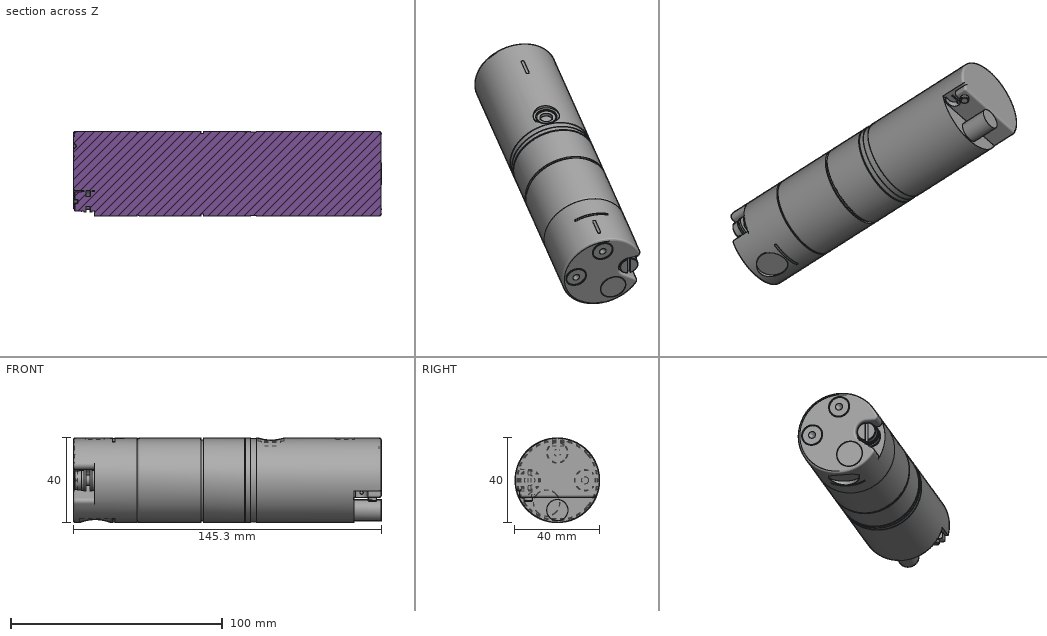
import cadquery as cq
import math

LENGTH = 145.3
DIAMETER = 40.0
RADIUS = DIAMETER / 2
EDGE_ROUND = 1.0
OVERCUT = 1.5
OVERLAP = 0.7

CAP_LENGTH = 30.1
SLEEVE_ROUND = 1.3
GROOVE_START = 60.2
GROOVE_WIDTH = 1.2
GROOVE_DEPTH = 0.9
GAP_START = 80.8
GAP_WIDTH = 0.5
GAP_DEPTH = 0.1
BAND_START = 83.5
BAND_WIDTH = 2.9
BAND_DEPTH = 0.22

BOLT_CIRCLE_RADIUS = 13.1
NOTCH_DEPTH = 9.9
NOTCH_RADIUS = 5.1
NOTCH_SLOPE = math.radians(36)
UPPER_CORNER_ROUND = 2.0
LOWER_CORNER_ROUND = 1.9

SCREW_STEPS = [(0.6, 9.0), (3.9, 9.5), (5.0, 10.0), (6.0, 5.0), (7.8, 10.0), (8.9, 9.5)]
SCREW_CHAMFER = 0.3
SLOT_WIDTH = 1.5
SLOT_DEPTH = 1.5

PLUG_DIAMETER = 10.0
SOCKET_DIAMETER = 3.3
SOCKET_DEPTH = 1.5
SEAM_WIDTH = 0.3
SEAM_DEPTH = 0.5
DISC_DIAMETER = 12.5
DISC_Y = -5.1
DISC_Z = -10.8
DISC_SEAM_WIDTH = 0.1
DISC_SEAM_DEPTH = 0.1

MARK_LENGTH = 9.3
MARK_WIDTH = 1.5
MARK_CENTERS = [10.2, 128.2]
ARC_MARK_X = 19.0
ARC_MARK_LENGTH = 16.3
ARC_MARK_WIDTH = 1.0
ARC_MARK_DEPTH = 0.1

PORT_X = 93.3
PORT_STEPS = [(12.4, 1.5), (10.0, 1.7), (9.0, 2.0), (6.0, 3.8)]
RECESS_X = 10.3
RECESS_DIAMETER = 14.8
RECESS_DEPTH = 1.9

CUTOUT_START = 132.4
CUTOUT_CEILING = -8.1
LEDGE_TOP = -5.1
LEDGE_Y = -17.9
LEDGE_ROUND = 0.9
END_ROUND = 1.2
BOSS_DIAMETER = 10.0
BOSS_Z = -14.1
POCKET_X = 136.0
POCKET_Y = -15.3
POCKET_WIDTH = 6.0
DIMPLE_DIAMETER = 1.6
DIMPLE_DEPTH = 1.5
DIMPLE_Z = -5.8
PIN_X = 141.1
PIN_DIAMETER = 4.0
PIN_BOTTOM = -10.0
PIN_CHAMFER = 0.5
PIN_Y = -13.8


def rod(start, end, radius, y=0.0, z=0.0):
    """Cylinder along X between two stations."""
    return cq.Workplane("YZ", origin=(start, y, z)).circle(radius).extrude(end - start)


def post(x, y, bottom, top, diameter):
    """Cylinder along Z between two heights."""
    return cq.Workplane("XY", origin=(x, y, bottom)).circle(diameter / 2).extrude(top - bottom)


def ring(start, width, depth, outer_radius, y=0.0, z=0.0):
    """Tube along X that removes a band of the given radial depth."""
    profile = cq.Workplane("YZ", origin=(start, y, z)).circle(outer_radius).circle(outer_radius - depth)
    return profile.extrude(width)


def notch_cutter():
    """Pocket round the screw: a level upper wall, a round back and a sloping lower wall."""
    reach = RADIUS
    top = (-BOLT_CIRCLE_RADIUS, NOTCH_RADIUS)
    back = (-BOLT_CIRCLE_RADIUS + NOTCH_RADIUS, 0)
    slope_start = (
        -BOLT_CIRCLE_RADIUS + NOTCH_RADIUS * math.sin(NOTCH_SLOPE),
        -NOTCH_RADIUS * math.cos(NOTCH_SLOPE),
    )
    slope_end = (
        slope_start[0] - reach * math.cos(NOTCH_SLOPE),
        slope_start[1] - reach * math.sin(NOTCH_SLOPE),
    )
    return (
        cq.Workplane("YZ", origin=(-OVERCUT, 0, 0))
        .moveTo(slope_end[0], NOTCH_RADIUS)
        .lineTo(*top)
        .threePointArc(back, slope_start)
        .lineTo(*slope_end)
        .close()
        .extrude(NOTCH_DEPTH + OVERCUT)
    )


def make_cap():
    """Notched cap with rounded notch corners and a rounded end face."""
    cap = rod(0, CAP_LENGTH, RADIUS).cut(notch_cutter())
    wall_end = -BOLT_CIRCLE_RADIUS - OVERCUT
    corners = [(0, RADIUS, UPPER_CORNER_ROUND), (-RADIUS, 0, LOWER_CORNER_ROUND)]
    for bottom, top, corner_round in corners:
        zone = cq.selectors.BoxSelector((0, -RADIUS, bottom), (NOTCH_DEPTH, wall_end, top))
        cap = cap.edges("|X").edges(zone).fillet(corner_round)
    return cap.faces("<X").edges().fillet(EDGE_ROUND)


def make_screw():
    """Slotted captive screw standing on the notch floor."""
    ends = [start for start, _ in SCREW_STEPS[1:]] + [NOTCH_DEPTH + OVERLAP]
    screw = cq.Workplane("XY")
    for (start, diameter), end in zip(SCREW_STEPS, ends):
        screw = screw.union(rod(start, end, diameter / 2, y=-BOLT_CIRCLE_RADIUS))
    screw = screw.faces("<X").edges().chamfer(SCREW_CHAMFER)
    head_start, head_diameter = SCREW_STEPS[0]
    slot = cq.Workplane("XY").box(2 * SLOT_DEPTH, SLOT_WIDTH, head_diameter)
    return screw.cut(slot.translate((head_start, -BOLT_CIRCLE_RADIUS, 0)))


def make_sleeve():
    """Main barrel: rounded at both ends, cut away flat and ledged under the far end."""
    sleeve = rod(CAP_LENGTH, LENGTH, RADIUS)
    cutout_length = LENGTH - CUTOUT_START + OVERCUT
    cutout = cq.Workplane("XY", origin=(CUTOUT_START, -RADIUS, -RADIUS)).box(
        cutout_length, 2 * RADIUS, RADIUS + CUTOUT_CEILING, centered=False
    )
    ledge = cq.Workplane("XY", origin=(CUTOUT_START, -RADIUS, -RADIUS)).box(
        cutout_length, RADIUS + LEDGE_Y, RADIUS + LEDGE_TOP, centered=False
    )
    sleeve = sleeve.cut(cutout).cut(ledge)
    corner = ((CUTOUT_START + LENGTH) / 2, LEDGE_Y, CUTOUT_CEILING)
    sleeve = sleeve.edges("|X").edges(cq.NearestToPointSelector(corner)).fillet(LEDGE_ROUND)
    sleeve = sleeve.faces(">X").edges().fillet(END_ROUND)
    sleeve = sleeve.faces("<X").edges().fillet(SLEEVE_ROUND)
    bands = [
        (GROOVE_START, GROOVE_WIDTH, GROOVE_DEPTH),
        (GAP_START, GAP_WIDTH, GAP_DEPTH),
        (BAND_START, BAND_WIDTH, BAND_DEPTH),
    ]
    for start, width, depth in bands:
        sleeve = sleeve.cut(ring(start, width, depth, RADIUS))
    return sleeve


def make_cutout_fittings():
    """Boss and pin that stand inside the far-end cutout."""
    boss = rod(CUTOUT_START - OVERLAP, LENGTH, BOSS_DIAMETER / 2, z=BOSS_Z)
    pin = post(PIN_X, PIN_Y, PIN_BOTTOM, CUTOUT_CEILING + OVERLAP, PIN_DIAMETER)
    pin = pin.faces("<Z").edges().chamfer(PIN_CHAMFER)
    return boss.union(pin)


def make_pocket_cutter():
    """Round-backed pocket above the cutout, open to the side, with a dimple in its back wall."""
    height = LEDGE_TOP - CUTOUT_CEILING
    pocket = post(POCKET_X, POCKET_Y, CUTOUT_CEILING, LEDGE_TOP, POCKET_WIDTH)
    mouth = cq.Workplane("XY", origin=(POCKET_X - POCKET_WIDTH / 2, -RADIUS, CUTOUT_CEILING)).box(
        POCKET_WIDTH, RADIUS + POCKET_Y, height, centered=False
    )
    dimple_end = POCKET_Y + POCKET_WIDTH / 2 + DIMPLE_DEPTH
    dimple = cq.Workplane("XZ", origin=(POCKET_X, dimple_end, DIMPLE_Z)).circle(DIMPLE_DIAMETER / 2)
    return pocket.union(mouth).union(dimple.extrude(POCKET_WIDTH))


def make_face_cutters():
    """Conical sockets and seams of the two plugs and the disc in the end face."""
    cutters = []
    for y, z in [(0, BOLT_CIRCLE_RADIUS), (BOLT_CIRCLE_RADIUS, 0)]:
        socket = cq.Solid.makeCone(SOCKET_DIAMETER / 2, 0, SOCKET_DEPTH, cq.Vector(0, y, z), cq.Vector(1, 0, 0))
        cutters.append(cq.Workplane(socket))
        cutters.append(ring(0, SEAM_DEPTH, SEAM_WIDTH, PLUG_DIAMETER / 2, y, z))
    cutters.append(ring(0, DISC_SEAM_DEPTH, DISC_SEAM_WIDTH, DISC_DIAMETER / 2, DISC_Y, DISC_Z))
    return cutters


def make_surface_cutters():
    """Index marks, the stepped port and the shallow underside recess."""
    cutters = []
    for x in MARK_CENTERS:
        half_run = (MARK_LENGTH - MARK_WIDTH) / 2
        mark = rod(x - half_run, x + half_run, MARK_WIDTH / 2, z=RADIUS)
        for end in (x - half_run, x + half_run):
            mark = mark.union(cq.Workplane("XY", origin=(end, 0, RADIUS)).sphere(MARK_WIDTH / 2))
        cutters.append(mark)
    arc_start = ARC_MARK_X - ARC_MARK_WIDTH / 2
    arc_limits = cq.Workplane("XY").box(LENGTH, ARC_MARK_LENGTH, 2 * RADIUS)
    cutters.append(ring(arc_start, ARC_MARK_WIDTH, ARC_MARK_DEPTH, RADIUS).intersect(arc_limits))
    for diameter, depth in PORT_STEPS:
        cutters.append(post(PORT_X, 0, RADIUS - depth, RADIUS, diameter))
    cutters.append(post(RECESS_X, 0, -RADIUS, RECESS_DEPTH - RADIUS, RECESS_DIAMETER))
    return cutters


result = make_cap().union(make_sleeve()).union(make_screw())
result = result.cut(make_pocket_cutter()).union(make_cutout_fittings())
for cutter in make_face_cutters() + make_surface_cutters():
    result = result.cut(cutter)